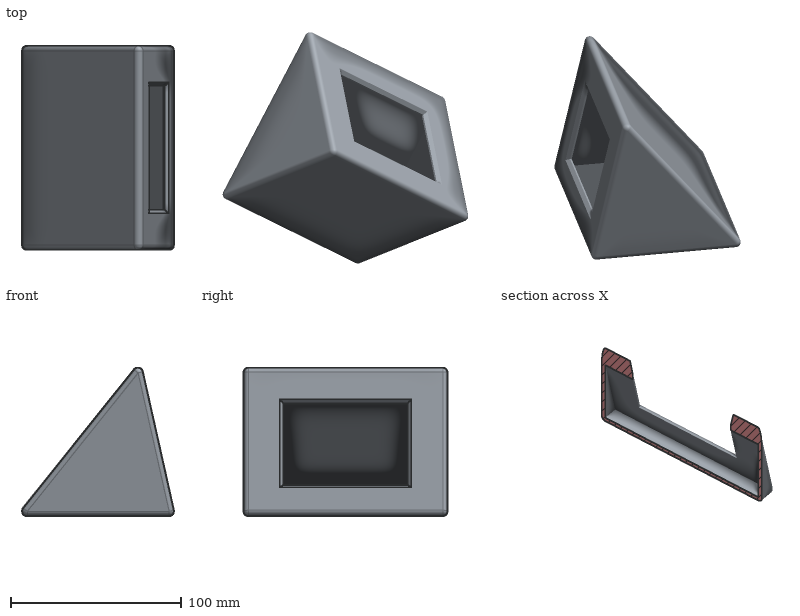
import cadquery as cq
import math

overall_length = 89.33
overall_width = 120.0
overall_height = 87.31
edge_radius = 3.0
wall = 3.0

window_width = 77.0
window_height = 53.0
window_bottom = 17.3
window_bevel = 2.0

centre_base = overall_length - 2 * edge_radius
centre_height = overall_height - 2 * edge_radius
front_angle = (math.pi - math.asin(centre_height / centre_base)) / 2
back_angle = math.pi - 2 * front_angle
back_lean = math.pi / 2 - back_angle

front_centre_x = -centre_base / 2
back_centre_x = centre_base / 2
apex_centre_x = front_centre_x + centre_height / math.tan(front_angle)

back_corner_x = back_centre_x + edge_radius / math.tan(back_angle / 2)


def wedge(inset):
    """Sharp triangular prism of the housing, with every face moved inwards by inset."""
    reach = edge_radius - inset
    half_front = front_angle / 2
    front = (front_centre_x - reach / math.tan(half_front), inset)
    back = (back_centre_x + reach / math.tan(back_angle / 2), inset)
    bisector = front_angle + half_front
    apex_reach = reach / math.sin(half_front)
    apex = (
        apex_centre_x + apex_reach * math.cos(bisector),
        edge_radius + centre_height + apex_reach * math.sin(bisector),
    )
    return (
        cq.Workplane("XZ")
        .polyline([front, back, apex])
        .close()
        .extrude(overall_width / 2 - inset, both=True)
    )


def window_cutter():
    """Bevelled rectangular opening through the back panel."""
    panel = cq.Plane(
        origin=(back_corner_x, 0, 0),
        xDir=(0, 1, 0),
        normal=(math.cos(back_lean), 0, math.sin(back_lean)),
    )
    centre_up = window_bottom + window_height / 2
    inner_width = window_width - 2 * window_bevel
    inner_height = window_height - 2 * window_bevel
    bevel = (
        cq.Workplane(panel)
        .center(0, centre_up)
        .rect(window_width, window_height)
        .workplane(offset=-window_bevel)
        .rect(inner_width, inner_height)
        .loft()
    )
    through = (
        cq.Workplane(panel)
        .center(0, centre_up)
        .rect(inner_width, inner_height)
        .extrude(-2 * wall)
    )
    return bevel.union(through)


outer = wedge(0).edges().fillet(edge_radius)
cavity = wedge(wall)
result = outer.cut(cavity).cut(window_cutter())